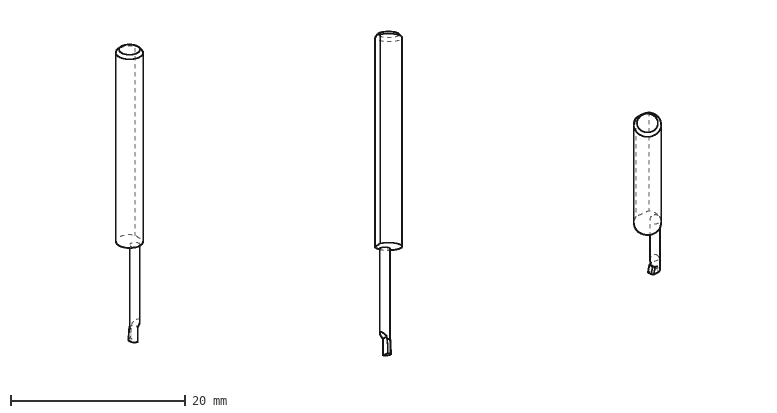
import cadquery as cq

total_length = 38.1
shank_diameter = 3.15
shank_radius = shank_diameter / 2
shank_bottom = 12.73
height_over_flat = 2.95
flat_y = height_over_flat - shank_radius
top_chamfer = 0.4

neck_diameter = 1.2
neck_radius = neck_diameter / 2
neck_y = 0.05
neck_x = shank_radius - neck_radius
rake_y = neck_y
ramp_end = 2.1

head_top = 1.8
tip_x = 0.057
head_taper = 0.2
clearance_width = 0.23
heel_y = neck_y - neck_radius
clearance_y = -0.4
heel_width = 0.45

end_rise = 0.1


def make_shank():
    shank = (
        cq.Workplane("XY").workplane(offset=shank_bottom)
        .circle(shank_radius).extrude(total_length - shank_bottom)
        .faces(">Z").chamfer(top_chamfer)
    )
    flat_cutter = (
        cq.Workplane("XY").workplane(offset=shank_bottom)
        .center(0, flat_y + shank_radius)
        .rect(2 * shank_radius, 2 * shank_radius)
        .extrude(total_length - shank_bottom)
    )
    return shank.cut(flat_cutter)


def make_neck():
    neck = cq.Workplane("XY").center(neck_x, neck_y).circle(neck_radius).extrude(shank_bottom)
    ramp_run = 2 * neck_radius
    rake_cutter = (
        cq.Workplane("YZ").workplane(offset=neck_x - ramp_run)
        .polyline([
            (rake_y, 0),
            (rake_y + ramp_run, 0),
            (rake_y + ramp_run, ramp_end + ramp_run),
            (rake_y, ramp_end),
        ])
        .close().extrude(2 * ramp_run)
    )
    return neck.cut(rake_cutter)


def head_section(tooth_x):
    return [
        (tooth_x, rake_y),
        (tooth_x + clearance_width, clearance_y),
        (tooth_x + heel_width, heel_y),
        (neck_x, heel_y),
        (neck_x, rake_y),
    ]


def make_head():
    return (
        cq.Workplane("XY").polyline(head_section(tip_x)).close()
        .workplane(offset=head_top).polyline(head_section(tip_x + head_taper)).close()
        .loft(ruled=True, combine=True)
    )


def make_end_relief():
    return (
        cq.Workplane("XZ")
        .polyline([(tip_x, 0), (shank_radius, 0), (shank_radius, end_rise)])
        .close().extrude(shank_radius, both=True)
    )


end = make_neck().union(make_head()).cut(make_end_relief())
result = make_shank().union(end)